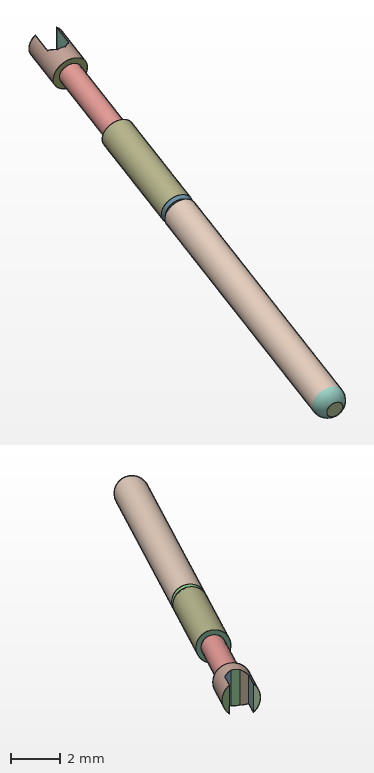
import cadquery as cq
import math

total_length = 24.64

head_radius = 1.58 / 2
head_length = 2.08
slot_width = 0.98
slot_straight_depth = 1.02
slot_floor_width = 0.37
slot_depth = 1.31

stem_radius = 0.51
barrel_start = 6.12

barrel_radius = 0.72
groove_center = 11.32
groove_width = 0.3
groove_depth = 0.1
nose_length = 0.57
nose_flat_radius = 0.37


def nose_arc_midpoint():
    """Middle of the tail arc that leaves the barrel wall tangentially."""
    drop = barrel_radius - nose_flat_radius
    arc_radius = (nose_length**2 + drop**2) / (2 * drop)
    half_sweep = math.asin(nose_length / arc_radius) / 2
    x = total_length - nose_length + arc_radius * math.sin(half_sweep)
    r = barrel_radius - arc_radius * (1 - math.cos(half_sweep))
    return x, r


def make_turned_body():
    """Revolve the half profile of head, stem and barrel about X."""
    half_groove = groove_width / 2
    profile = (
        cq.Workplane("XY")
        .moveTo(0, 0)
        .lineTo(0, head_radius)
        .lineTo(head_length, head_radius)
        .lineTo(head_length, stem_radius)
        .lineTo(barrel_start, stem_radius)
        .lineTo(barrel_start, barrel_radius)
        .lineTo(groove_center - half_groove, barrel_radius)
        .lineTo(groove_center, barrel_radius - groove_depth)
        .lineTo(groove_center + half_groove, barrel_radius)
        .lineTo(total_length - nose_length, barrel_radius)
        .threePointArc(nose_arc_midpoint(), (total_length, nose_flat_radius))
        .lineTo(total_length, 0)
        .close()
    )
    return profile.revolve(360, (0, 0, 0), (1, 0, 0))


def make_fork_slot():
    """Slot through the head along Z, tapering to a narrow flat floor."""
    half_slot = slot_width / 2
    half_floor = slot_floor_width / 2
    outline = [
        (0, half_slot),
        (slot_straight_depth, half_slot),
        (slot_depth, half_floor),
        (slot_depth, -half_floor),
        (slot_straight_depth, -half_slot),
        (0, -half_slot),
    ]
    return cq.Workplane("XY").polyline(outline).close().extrude(head_radius, both=True)


result = make_turned_body().cut(make_fork_slot())